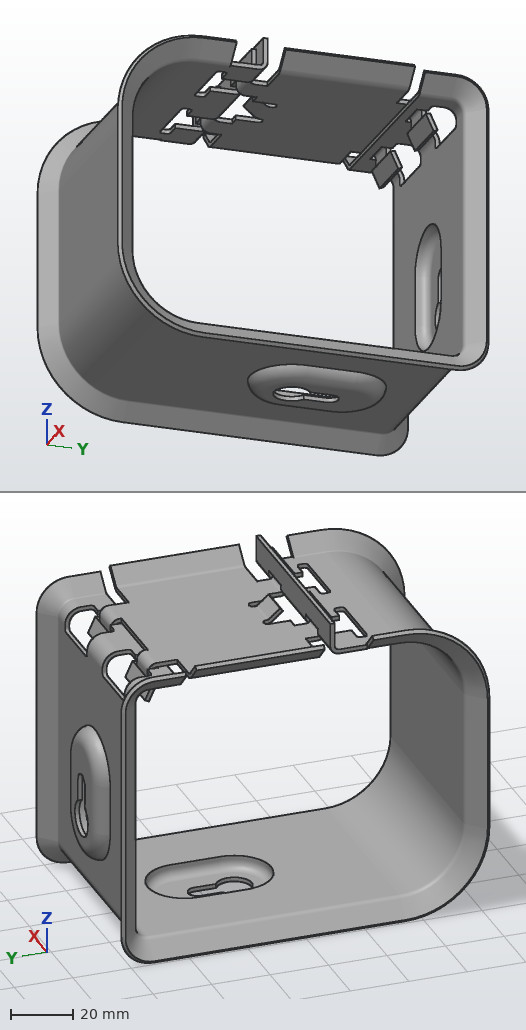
import cadquery as cq
import math

SHEET = 1.5
WIDTH = 80.0
HALF_LENGTH = 63.0
FLARE_RISE = 5.4
FLARE_ANGLE = math.radians(45)
DUCT_FLARE_RADIUS = 0.9
LID_FLARE_RADIUS = 1.9
FOLD_RADIUS = 1.5
FOLD_OUTER = FOLD_RADIUS + SHEET

FRONT_Y = FLARE_RISE - HALF_LENGTH
BACK_Y = HALF_LENGTH - FLARE_RISE
FLOOR_Z = FLARE_RISE
FRONT_TOP_Z = 98.5
BACK_TOP_Z = 96.6
FRONT_RADIUS = 23.4
BACK_RADIUS = 5.5
FRONT_FLARE_END_Y = -22.9
BACK_EDGE_Y = 41.1

HALF_PLATE = 34.1
UPRIGHT_BACK_Y = -10.3
UPRIGHT_FRONT_Y = UPRIGHT_BACK_Y - SHEET
UPRIGHT_TOP_Z = 108.1

TAB_X = 17.1
SLOT_NECK_WIDTH = 11.1
FRONT_SLOT_X = 16.9
FRONT_BAR_WIDTH = 22.4
FRONT_BAR_Y = (-25.5, -21.9)
FRONT_SLOT_TOP_Z = 101.0
BAR_CORNER_RADIUS = 1.1
BACK_BAR_WIDTH = 20.2
BACK_BAR_FRONT_Y = 48.0
BACK_BAR_BOTTOM_Z = 88.8
BACK_NECK_FRONT_Y = 44.4

SEAT_RADIUS = 12.6
SEAT_DEPTH = 4.5
SEAT_CORNER = 3.0
SEAT_OUTER_RADIUS = 14.5
SEAT_OUTER_CORNER = 5.3
SEAT_OUTER_DRAFT = 10.0
SEAT_LENGTH = 17.0
FLOOR_SEAT_Y = 9.8
BACK_SEAT_Z = 35.3
KEYHOLE_DIAMETER = 12.0
KEYHOLE_SLOT_WIDTH = 6.3
KEYHOLE_SLOT_LENGTH = 12.6

LID_BOTTOM_Z = BACK_TOP_Z
LID_TOP_Z = LID_BOTTOM_Z + SHEET
LID_FRONT_Y = -6.3
LID_BACK_Y = 37.7
TONGUE_BACK_Y = 44.0
TAB_NECK_WIDTH = 10.2
HALF_TONGUE = TAB_X + TAB_NECK_WIDTH / 2
FRONT_HEAD_WIDTH = 20.2
FRONT_HEAD_Z = (101.4, 106.7)
BACK_HEAD_WIDTH = 18.1
BACK_FOLD_Y = 44.6
BACK_KINK_Z = 92.6
BACK_HEAD_LENGTH = 6.3
BACK_HEAD_TILT = math.radians(25)

CATCH_WIDTH = 10.7
RELIEF_WIDTH = 2.9
RELIEF_BACK_Y = 2.3
CATCH_HINGE_Y = 0.8
CATCH_LENGTH = 4.8
CATCH_ANGLE = math.radians(40)

CLEAR = 6.3


def centred(middle, width):
    return middle - width / 2, middle + width / 2


def box(x_range, y_range, z_range):
    sizes = [high - low for low, high in (x_range, y_range, z_range)]
    corner = (x_range[0], y_range[0], z_range[0])
    return cq.Workplane("XY").box(*sizes, centered=False).translate(corner)


def across(outline_yz, width, middle_x=0):
    """Extrude a closed YZ workplane outline evenly to both sides of middle_x."""
    return outline_yz.extrude(width / 2, both=True).translate((middle_x, 0, 0))


def flared_section(plane, bend_radius):
    """Sheet section with a flare at both ends; local y is 0 on the outer sheet face."""
    sine = math.sin(FLARE_ANGLE)
    cosine = math.cos(FLARE_ANGLE)

    def on_bend(radius, angle):
        return bend_x + radius * math.sin(angle), bend_radius - radius * math.cos(angle)

    tip_x = WIDTH / 2 - SHEET * sine
    bend_run = bend_radius * sine
    flare_run = (FLARE_RISE - bend_radius * (1 - cosine)) / math.tan(FLARE_ANGLE)
    bend_x = tip_x - flare_run - bend_run
    inner_radius = bend_radius + SHEET
    right_half = cq.Workplane(plane).moveTo(0, 0).lineTo(bend_x, 0)
    right_half = right_half.threePointArc(
        on_bend(bend_radius, FLARE_ANGLE / 2), on_bend(bend_radius, FLARE_ANGLE)
    )
    right_half = right_half.lineTo(tip_x, FLARE_RISE).lineTo(WIDTH / 2, FLARE_RISE - SHEET * cosine)
    right_half = right_half.lineTo(*on_bend(inner_radius, FLARE_ANGLE))
    right_half = right_half.threePointArc(on_bend(inner_radius, FLARE_ANGLE / 2), (bend_x, -SHEET))
    return right_half.lineTo(0, -SHEET).mirrorY()


def duct_path():
    """Outer sheet face in the YZ plane, from the top front, under the floor, to the top back."""
    diagonal = math.sqrt(0.5)
    front_y = FRONT_Y + FRONT_RADIUS
    front_top_z = FRONT_TOP_Z - FRONT_RADIUS
    front_low_z = FLOOR_Z + FRONT_RADIUS
    back_y = BACK_Y - BACK_RADIUS
    back_low_z = FLOOR_Z + BACK_RADIUS
    back_top_z = BACK_TOP_Z - BACK_RADIUS
    front_reach = FRONT_RADIUS * diagonal
    back_reach = BACK_RADIUS * diagonal
    return (
        cq.Workplane("YZ")
        .moveTo(FRONT_FLARE_END_Y, FRONT_TOP_Z)
        .lineTo(front_y, FRONT_TOP_Z)
        .threePointArc((front_y - front_reach, front_top_z + front_reach), (FRONT_Y, front_top_z))
        .lineTo(FRONT_Y, front_low_z)
        .threePointArc((front_y - front_reach, front_low_z - front_reach), (front_y, FLOOR_Z))
        .lineTo(back_y, FLOOR_Z)
        .threePointArc((back_y + back_reach, back_low_z - back_reach), (BACK_Y, back_low_z))
        .lineTo(BACK_Y, back_top_z)
        .threePointArc((back_y + back_reach, back_top_z + back_reach), (back_y, BACK_TOP_Z))
        .lineTo(BACK_EDGE_Y, BACK_TOP_Z)
    )


def flared_wall():
    start = cq.Plane(origin=(0, FRONT_FLARE_END_Y, FRONT_TOP_Z), xDir=(1, 0, 0), normal=(0, -1, 0))
    return flared_section(start, DUCT_FLARE_RADIUS).sweep(duct_path())


def upright_flange():
    """Front plate folded up into the upright flange."""
    bottom_z = FRONT_TOP_Z - SHEET
    fold_y = UPRIGHT_BACK_Y - FOLD_OUTER
    fold_z = bottom_z + FOLD_OUTER
    outline = (
        cq.Workplane("YZ")
        .moveTo(FRONT_FLARE_END_Y, bottom_z)
        .lineTo(fold_y, bottom_z)
        .radiusArc((UPRIGHT_BACK_Y, fold_z), -FOLD_OUTER)
        .lineTo(UPRIGHT_BACK_Y, UPRIGHT_TOP_Z)
        .lineTo(UPRIGHT_FRONT_Y, UPRIGHT_TOP_Z)
        .lineTo(UPRIGHT_FRONT_Y, fold_z)
        .radiusArc((fold_y, FRONT_TOP_Z), FOLD_RADIUS)
        .lineTo(FRONT_FLARE_END_Y, FRONT_TOP_Z)
        .close()
    )
    return across(outline, 2 * HALF_PLATE)


def front_slot(middle_x):
    """T slot: a rounded bar in the plate, its neck running through the fold."""
    z_low = FRONT_TOP_Z - SHEET - CLEAR
    bar = box(centred(middle_x, FRONT_BAR_WIDTH), FRONT_BAR_Y, (z_low, FRONT_SLOT_TOP_Z))
    bar = bar.edges("|Z").fillet(BAR_CORNER_RADIUS)
    neck_y = (FRONT_BAR_Y[1], UPRIGHT_BACK_Y + CLEAR)
    neck = box(centred(middle_x, SLOT_NECK_WIDTH), neck_y, (z_low, FRONT_SLOT_TOP_Z))
    return bar.union(neck)


def back_slot(middle_x):
    """T slot: a wide bar open over the back corner, and a neck in the top plate."""
    z_high = BACK_TOP_Z + CLEAR
    bar_y = (BACK_BAR_FRONT_Y, BACK_Y + CLEAR)
    bar = box(centred(middle_x, BACK_BAR_WIDTH), bar_y, (BACK_BAR_BOTTOM_Z, z_high))
    bar = bar.edges("(|Y and <Z) or (|Z and <Y)").fillet(BAR_CORNER_RADIUS)
    neck_y = (BACK_NECK_FRONT_Y, BACK_BAR_FRONT_Y)
    neck = box(centred(middle_x, SLOT_NECK_WIDTH), neck_y, (BACK_BAR_BOTTOM_Z, z_high))
    return bar.union(neck)


def add_seat(duct, plane):
    """Emboss a keyhole seat; the plane lies on the inner sheet face with its normal outwards,
    its origin at the large keyhole and its y axis along the slot."""
    middle_y = SEAT_LENGTH / 2

    def rounded_block(radius, depth, corner, draft):
        outline = cq.Workplane(plane).center(0, middle_y)
        block = outline.slot2D(SEAT_LENGTH + 2 * radius, 2 * radius, 90).extrude(depth, taper=draft)
        return block.faces(cq.selectors.DirectionMinMaxSelector(plane.zDir, True)).edges().fillet(corner)

    shell = rounded_block(SEAT_OUTER_RADIUS, SEAT_DEPTH + SHEET, SEAT_OUTER_CORNER, SEAT_OUTER_DRAFT)
    pocket = rounded_block(SEAT_RADIUS, SEAT_DEPTH, SEAT_CORNER, 0)
    through = SEAT_DEPTH + CLEAR
    large_hole = cq.Workplane(plane).circle(KEYHOLE_DIAMETER / 2).extrude(through)
    slot_length = KEYHOLE_SLOT_LENGTH + KEYHOLE_SLOT_WIDTH
    slot = cq.Workplane(plane).center(0, KEYHOLE_SLOT_LENGTH / 2)
    slot = slot.slot2D(slot_length, KEYHOLE_SLOT_WIDTH, 90).extrude(through)
    return duct.union(shell).cut(pocket).cut(large_hole).cut(slot)


def make_duct():
    duct = flared_wall().union(upright_flange())
    for side in (-1, 1):
        duct = duct.cut(front_slot(side * FRONT_SLOT_X)).cut(back_slot(side * TAB_X))
    floor_plane = cq.Plane(origin=(0, FLOOR_SEAT_Y, FLOOR_Z + SHEET), xDir=(-1, 0, 0), normal=(0, 0, -1))
    back_plane = cq.Plane(origin=(0, BACK_Y - SHEET, BACK_SEAT_Z), xDir=(-1, 0, 0), normal=(0, 1, 0))
    for plane in (floor_plane, back_plane):
        duct = add_seat(duct, plane)
    return duct


def lid_panel():
    """Flared panel with a narrower tongue towards the back."""
    start = cq.Plane(origin=(0, LID_BACK_Y, LID_TOP_Z), xDir=(1, 0, 0), normal=(0, -1, 0))
    panel = flared_section(start, LID_FLARE_RADIUS).extrude(LID_BACK_Y - LID_FRONT_Y)
    tongue_y = (LID_BACK_Y, TONGUE_BACK_Y)
    return panel.union(box((-HALF_TONGUE, HALF_TONGUE), tongue_y, (LID_BOTTOM_Z, LID_TOP_Z)))


def front_tab(middle_x):
    """Neck folded up in front of the upright flange, with a wider head."""
    front_y = UPRIGHT_FRONT_Y - SHEET
    fold_y = front_y + FOLD_OUTER
    fold_z = LID_BOTTOM_Z + FOLD_OUTER
    neck = (
        cq.Workplane("YZ")
        .moveTo(LID_FRONT_Y, LID_BOTTOM_Z)
        .lineTo(fold_y, LID_BOTTOM_Z)
        .radiusArc((front_y, fold_z), FOLD_OUTER)
        .lineTo(front_y, FRONT_HEAD_Z[0])
        .lineTo(UPRIGHT_FRONT_Y, FRONT_HEAD_Z[0])
        .lineTo(UPRIGHT_FRONT_Y, fold_z)
        .radiusArc((fold_y, LID_TOP_Z), -FOLD_RADIUS)
        .lineTo(LID_FRONT_Y, LID_TOP_Z)
        .close()
    )
    head = box(centred(middle_x, FRONT_HEAD_WIDTH), (front_y, UPRIGHT_FRONT_Y), FRONT_HEAD_Z)
    return across(neck, TAB_NECK_WIDTH, middle_x).union(head)


def back_tab(middle_x):
    """Neck folded down through the duct slot, with a wider head tilted backwards."""
    inner_y = BACK_FOLD_Y + FOLD_RADIUS
    outer_y = BACK_FOLD_Y + FOLD_OUTER
    fold_z = LID_TOP_Z - FOLD_OUTER
    outer_kink_z = BACK_KINK_Z + SHEET * math.tan(BACK_HEAD_TILT / 2)
    neck = (
        cq.Workplane("YZ")
        .moveTo(TONGUE_BACK_Y, LID_BOTTOM_Z)
        .lineTo(BACK_FOLD_Y, LID_BOTTOM_Z)
        .radiusArc((inner_y, fold_z), FOLD_RADIUS)
        .lineTo(inner_y, BACK_KINK_Z)
        .lineTo(outer_y, outer_kink_z)
        .lineTo(outer_y, fold_z)
        .radiusArc((BACK_FOLD_Y, LID_TOP_Z), -FOLD_OUTER)
        .lineTo(TONGUE_BACK_Y, LID_TOP_Z)
        .close()
    )
    run = BACK_HEAD_LENGTH * math.sin(BACK_HEAD_TILT)
    drop = BACK_HEAD_LENGTH * math.cos(BACK_HEAD_TILT)
    tip_y = inner_y + run
    tip_z = BACK_KINK_Z - drop
    outer_tip = (tip_y + SHEET * math.cos(BACK_HEAD_TILT), tip_z + SHEET * math.sin(BACK_HEAD_TILT))
    head = (
        cq.Workplane("YZ")
        .moveTo(inner_y, BACK_KINK_Z)
        .lineTo(tip_y, tip_z)
        .lineTo(*outer_tip)
        .lineTo(outer_y, outer_kink_z)
        .close()
    )
    return across(neck, TAB_NECK_WIDTH, middle_x).union(across(head, BACK_HEAD_WIDTH, middle_x))


def catch_opening():
    """Opening around the catch with a rounded relief slot on each side."""
    z_range = (LID_BOTTOM_Z - CLEAR, LID_TOP_Z + CLEAR)
    front_y = LID_FRONT_Y - CLEAR
    opening = box(centred(0, CATCH_WIDTH), (front_y, CATCH_HINGE_Y), z_range)
    relief_end_y = RELIEF_BACK_Y - RELIEF_WIDTH / 2
    relief_x = (CATCH_WIDTH + RELIEF_WIDTH) / 2
    for middle_x in (-relief_x, relief_x):
        relief = box(centred(middle_x, RELIEF_WIDTH), (front_y, relief_end_y), z_range)
        round_end = cq.Workplane("XY", origin=(middle_x, relief_end_y, z_range[0]))
        round_end = round_end.circle(RELIEF_WIDTH / 2).extrude(z_range[1] - z_range[0])
        opening = opening.union(relief).union(round_end)
    return opening


def catch():
    """Spring catch bent up from the lid towards the front."""
    run = CATCH_LENGTH * math.cos(CATCH_ANGLE)
    rise = CATCH_LENGTH * math.sin(CATCH_ANGLE)

    def on_bend(radius):
        bend_z = LID_TOP_Z + FOLD_RADIUS
        return CATCH_HINGE_Y - radius * math.sin(CATCH_ANGLE), bend_z - radius * math.cos(CATCH_ANGLE)

    upper_y, upper_z = on_bend(FOLD_RADIUS)
    lower_y, lower_z = on_bend(FOLD_OUTER)
    outline = (
        cq.Workplane("YZ")
        .moveTo(CATCH_HINGE_Y, LID_TOP_Z)
        .radiusArc((upper_y, upper_z), FOLD_RADIUS)
        .lineTo(upper_y - run, upper_z + rise)
        .lineTo(lower_y - run, lower_z + rise)
        .lineTo(lower_y, lower_z)
        .radiusArc((CATCH_HINGE_Y, LID_BOTTOM_Z), -FOLD_OUTER)
        .close()
    )
    return across(outline, CATCH_WIDTH)


def make_lid():
    lid = lid_panel().cut(catch_opening()).union(catch())
    for middle_x in (-TAB_X, TAB_X):
        lid = lid.union(front_tab(middle_x)).union(back_tab(middle_x))
    return lid


duct = make_duct()
lid = make_lid()
result = cq.Compound.makeCompound([*duct.solids().vals(), *lid.solids().vals()])